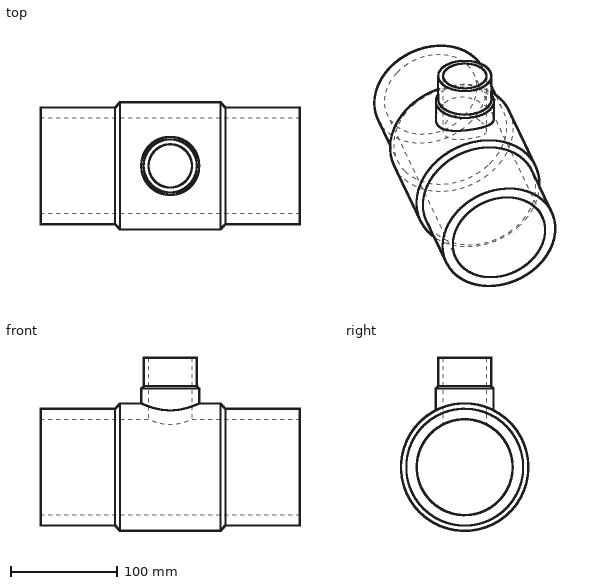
import cadquery as cq

pipe_length = 244.0
pipe_diameter = 110.0
pipe_bore = 90.0

sleeve_length = 103.5
sleeve_diameter = 120.0
sleeve_crown_length = 94.5

total_height = 163.0
branch_top = total_height - sleeve_diameter / 2
branch_diameter = 50.0
branch_bore = 40.7
collar_diameter = 54.7
collar_top = 76.1
collar_chamfer = (collar_diameter - branch_diameter) / 2


def cylinder_along_x(diameter, length):
    """Cylinder centred on the origin with its axis along X."""
    return cq.Workplane("YZ", origin=(-length / 2, 0, 0)).circle(diameter / 2).extrude(length)


def cylinder_up(diameter, height):
    """Cylinder rising along Z from the pipe axis."""
    return cq.Workplane("XY").circle(diameter / 2).extrude(height)


def tapered_sleeve():
    """Solid of revolution about X that slopes down to the pipe diameter at each end."""
    half_length = sleeve_length / 2
    half_crown = sleeve_crown_length / 2
    profile = (
        cq.Workplane("XY")
        .moveTo(-half_length, 0)
        .lineTo(-half_length, pipe_diameter / 2)
        .lineTo(-half_crown, sleeve_diameter / 2)
        .lineTo(half_crown, sleeve_diameter / 2)
        .lineTo(half_length, pipe_diameter / 2)
        .lineTo(half_length, 0)
        .close()
    )
    return profile.revolve(360, (0, 0, 0), (1, 0, 0))


pipe = cylinder_along_x(pipe_diameter, pipe_length)
sleeve = tapered_sleeve()
branch = cylinder_up(branch_diameter, branch_top)
collar = cylinder_up(collar_diameter, collar_top).faces(">Z").edges().chamfer(collar_chamfer)

body = pipe.union(sleeve).union(collar).union(branch)

result = body.cut(cylinder_along_x(pipe_bore, pipe_length)).cut(cylinder_up(branch_bore, branch_top))